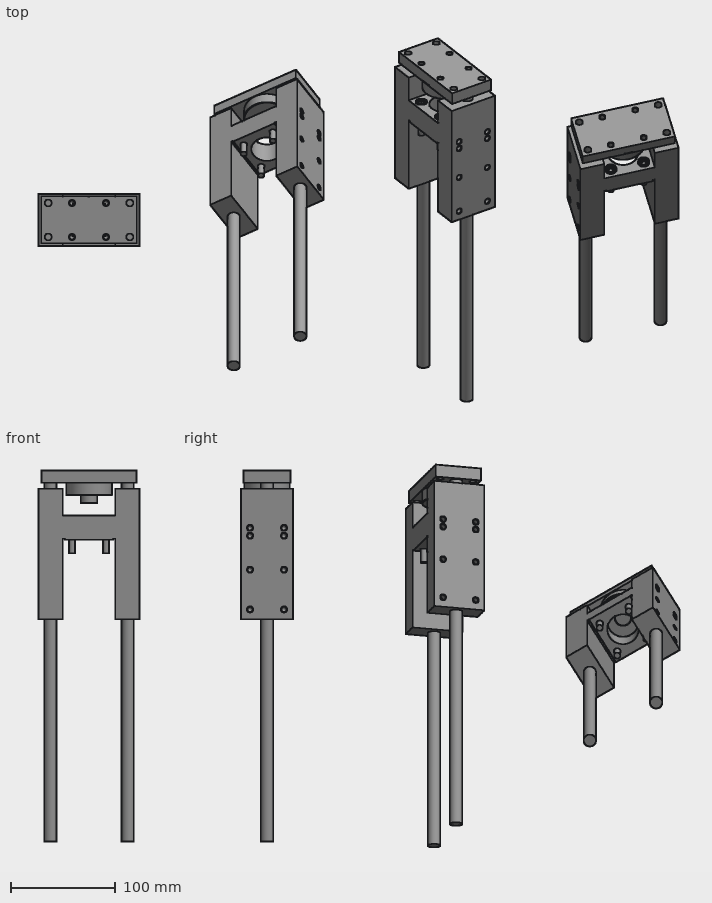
import cadquery as cq
import math

BOLT_OFFSET = 32.5 / 2

PLATE_LENGTH = 91.0
PLATE_WIDTH = 45.0
PLATE_THICKNESS = 12.0
PLATE_HOLE_DIAMETER = 6.6
PLATE_HOLE_X = 39.0

FLANGE_DIAMETER = 44.0
FLANGE_BOTTOM_Z = -24.0
STUB_DIAMETER = 16.0
STUB_BOTTOM_Z = -31.5
FLANGE_CHAMFER = 0.5

ROD_DIAMETER = 12.0
ROD_X = 37.0
ROD_BOTTOM_Z = -355.0

HOUSING_LENGTH = 97.0
HOUSING_WIDTH = 50.0
HOUSING_TOP_Z = -17.5
HOUSING_BOTTOM_Z = -142.5
LEG_GAP = 50.0
BRIDGE_TOP_Z = -43.0
BRIDGE_BOTTOM_Z = -66.5
RELIEF_WIDTH = 2.0
RELIEF_DEPTH = 1.0
CYLINDER_BORE_DIAMETER = 30.0

TAP_DRILL_DIAMETER = 4.92
TAP_MOUTH_DIAMETER = 6.0
TAP_DEPTH = 10.0
DRILL_POINT_ANGLE = 118.0
SIDE_HOLE_Z = (-55.0, -62.5, -95.0, -133.0)

SCREW_DIAMETER = 6.0
SCREW_HEAD_DIAMETER = 10.0
SCREW_HEAD_HEIGHT = 6.0
SCREW_HEAD_TOP_DIAMETER = 8.65
SCREW_LENGTH = 30.0
SCREW_HOLE_DIAMETER = 6.6
COUNTERBORE_DIAMETER = 11.0
COUNTERBORE_DEPTH = 6.5
SCREW_SEAT_Z = BRIDGE_TOP_Z - COUNTERBORE_DEPTH
SOCKET_FLATS = 5.0
SOCKET_DEPTH = 3.0

bolt_points = [(x, y) for x in (-BOLT_OFFSET, BOLT_OFFSET) for y in (-BOLT_OFFSET, BOLT_OFFSET)]
rod_points = [(-ROD_X, 0), (ROD_X, 0)]


def block(length, width, top_z, bottom_z):
    """Box centred on the Z axis between two levels."""
    return (
        cq.Workplane("XY", origin=(0, 0, bottom_z))
        .rect(length, width)
        .extrude(top_z - bottom_z)
    )


def cylinders(points, diameter, top_z, bottom_z):
    """Vertical cylinders at the given XY points between two levels."""
    return (
        cq.Workplane("XY", origin=(0, 0, bottom_z))
        .pushPoints(points)
        .circle(diameter / 2)
        .extrude(top_z - bottom_z)
    )


def tapped_hole(position, direction):
    """Cutter for a blind tapped hole: countersunk mouth, core drill and drill point."""
    core = TAP_DRILL_DIAMETER / 2
    mouth = TAP_MOUTH_DIAMETER / 2
    mouth_depth = mouth - core
    tip_depth = TAP_DEPTH + core / math.tan(math.radians(DRILL_POINT_ANGLE / 2))
    profile = [(0, 0), (mouth, 0), (core, mouth_depth), (core, TAP_DEPTH), (0, tip_depth)]
    hole_plane = cq.Plane(origin=position, xDir=(0, 1, 0), normal=direction)
    cutter = cq.Workplane("XZ").polyline(profile).close().revolve(360, (0, 0), (0, 1)).val()
    return cutter.moved(cq.Location(hole_plane))


def make_slide():
    """Moving plate with its coupling flange, stub and two guide rods."""
    slide = block(PLATE_LENGTH, PLATE_WIDTH, 0, -PLATE_THICKNESS)
    flange = cylinders([(0, 0)], FLANGE_DIAMETER, -PLATE_THICKNESS, FLANGE_BOTTOM_Z)
    stub = cylinders([(0, 0)], STUB_DIAMETER, FLANGE_BOTTOM_Z, STUB_BOTTOM_Z)
    for step in (flange, stub):
        slide = slide.union(step.faces("<Z").chamfer(FLANGE_CHAMFER))
    slide = slide.union(cylinders(rod_points, ROD_DIAMETER, -PLATE_THICKNESS, ROD_BOTTOM_Z))

    corner_points = [(x, y) for x in (-PLATE_HOLE_X, PLATE_HOLE_X) for y in (-BOLT_OFFSET, BOLT_OFFSET)]
    slide = slide.cut(cylinders(corner_points, PLATE_HOLE_DIAMETER, 0, -PLATE_THICKNESS))
    for x, y in bolt_points:
        slide = slide.cut(cq.Workplane(tapped_hole((x, y, 0), (0, 0, -1))))
    return slide


def make_housing():
    """H-shaped housing: two guide legs joined by the cylinder mounting bridge."""
    housing = block(HOUSING_LENGTH, HOUSING_WIDTH, HOUSING_TOP_Z, HOUSING_BOTTOM_Z)
    housing = housing.cut(block(LEG_GAP, HOUSING_WIDTH, HOUSING_TOP_Z, BRIDGE_TOP_Z))
    housing = housing.cut(block(LEG_GAP, HOUSING_WIDTH, BRIDGE_BOTTOM_Z, HOUSING_BOTTOM_Z))

    relief_x = (LEG_GAP - RELIEF_WIDTH) / 2
    relief = block(RELIEF_WIDTH, HOUSING_WIDTH, BRIDGE_BOTTOM_Z + RELIEF_DEPTH, BRIDGE_BOTTOM_Z)
    for x in (-relief_x, relief_x):
        housing = housing.cut(relief.translate((x, 0, 0)))

    housing = housing.cut(cylinders([(0, 0)], CYLINDER_BORE_DIAMETER, BRIDGE_TOP_Z, BRIDGE_BOTTOM_Z))
    housing = housing.cut(cylinders(bolt_points, SCREW_HOLE_DIAMETER, BRIDGE_TOP_Z, BRIDGE_BOTTOM_Z))
    housing = housing.cut(cylinders(bolt_points, COUNTERBORE_DIAMETER, BRIDGE_TOP_Z, SCREW_SEAT_Z))

    housing = housing.cut(cylinders(rod_points, ROD_DIAMETER, HOUSING_TOP_Z, HOUSING_BOTTOM_Z))

    for side in (-1, 1):
        for y in (-BOLT_OFFSET, BOLT_OFFSET):
            for z in SIDE_HOLE_Z:
                cutter = tapped_hole((side * HOUSING_LENGTH / 2, y, z), (-side, 0, 0))
                housing = housing.cut(cq.Workplane(cutter))
    return housing


def make_screw(x, y):
    """Socket head cap screw standing in a counterbore of the bridge."""
    head_top_z = SCREW_SEAT_Z + SCREW_HEAD_HEIGHT
    head_chamfer = (SCREW_HEAD_DIAMETER - SCREW_HEAD_TOP_DIAMETER) / 2
    head = cylinders([(x, y)], SCREW_HEAD_DIAMETER, head_top_z, SCREW_SEAT_Z)
    head = head.faces(">Z").chamfer(head_chamfer)
    shank = cylinders([(x, y)], SCREW_DIAMETER, SCREW_SEAT_Z, SCREW_SEAT_Z - SCREW_LENGTH)
    socket = (
        cq.Workplane("XY", origin=(x, y, head_top_z))
        .polygon(6, SOCKET_FLATS, circumscribed=True)
        .extrude(-SOCKET_DEPTH)
    )
    corner_radius = SOCKET_FLATS / 2 / math.cos(math.pi / 6)
    bevel = cq.Solid.makeCone(
        corner_radius, 0, corner_radius, pnt=cq.Vector(x, y, head_top_z), dir=cq.Vector(0, 0, -1)
    )
    return head.union(shank).cut(socket).cut(cq.Workplane(bevel))


slide = make_slide()
housing = make_housing()
screws = [make_screw(x, y) for x, y in bolt_points]

result = cq.Compound.makeCompound([slide.val(), housing.val(), *[screw.val() for screw in screws]])